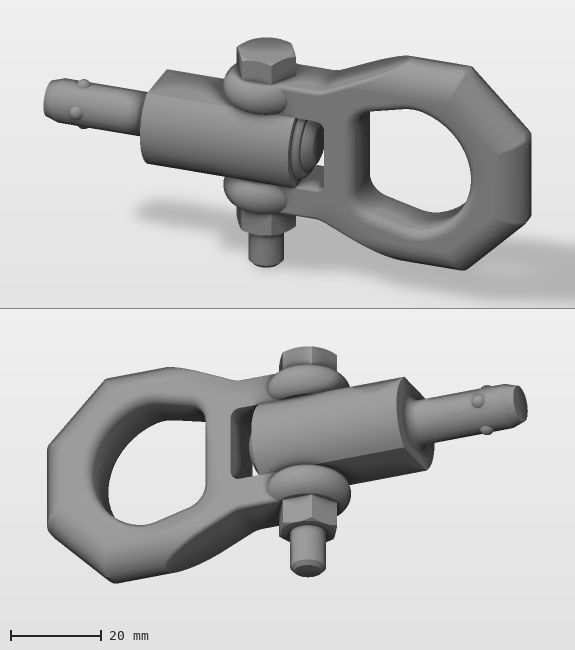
import cadquery as cq
import math


pin_radius = 5.0
pin_tip_radius = 4.1
pin_tip_x = -50.8
pin_tip_length = 2.8
collar_radius = 6.6
collar_length = 1.7
ball_count = 4
ball_radius = 1.7
ball_x = -42.8
ball_reach = 6.0

housing_radius = 10.7
housing_flat_z = 8.7
housing_front_x = -25.7
housing_rear_x = 9.0
rim_base_radius = 8.7
rim_end_radius = 7.7
rim_length = 1.4
rim_arc_radius = 2.7
button_radius = 6.3
button_end_radius = 4.1
button_step = 0.3
dome_length = 1.7
dome_arc_radius = 4.5

shaft_radius = 4.0
shaft_end_z = -31.2
shaft_chamfer = 0.9
hex_sides = 6
hex_flats = 12.1
hex_chamfer_angle = 30
head_height = 5.2
nut_height = 6.1
boss_radius = 9.5
boss_face_radius = 7.4
boss_outer_z = 15.8
boss_height = boss_outer_z - housing_flat_z

thickness = 12.4
octagon_sides = 8
octagon_apothem = 24.6
ring_end_x = 61.9
octagon_x = ring_end_x - octagon_apothem
octagon_corner_radius = 4.5
octagon_side_angles = (-90, -45, 0, 45, 90)
slope_start_x = 14.7
slope_angle = 24.5
slope_blend_radius = 5.9
edge_radius = 0.9
slot_end_x = 15.9
slot_corner_radius = 2.1

opening_x = 34.7
opening_radius = 15.0
opening_left_x = 22.7
opening_left_z = 11.6
opening_slant = 14
opening_corner_radius = 5.0
opening_blend_radius = 9.0
opening_edge_radius = 2.1

clearance = 112.7


def revolve_about_x(outline):
    """Closed half-profile turned into a solid about the pin axis."""
    return outline.close().revolve(360, (0, 0, 0), (1, 0, 0))


def make_stem():
    """Pin stem with a tapered tip and a flared collar against the housing."""
    tip_end_x = pin_tip_x + pin_tip_length
    outline = (
        cq.Workplane("XZ")
        .moveTo(pin_tip_x, 0)
        .lineTo(pin_tip_x, pin_tip_radius)
        .lineTo(tip_end_x, pin_radius)
        .lineTo(housing_front_x - collar_length, pin_radius)
        .radiusArc((housing_front_x, collar_radius), -collar_length)
        .lineTo(housing_front_x, 0)
    )
    return revolve_about_x(outline)


def make_balls():
    """Four locking balls standing out of the stem."""
    balls = cq.Workplane("XY")
    ball_offset = ball_reach - ball_radius
    for ball_number in range(ball_count):
        ball = cq.Workplane("XY").sphere(ball_radius).translate((ball_x, 0, ball_offset))
        balls = balls.add(ball.rotate((0, 0, 0), (1, 0, 0), ball_number * 360 / ball_count))
    return balls.combine()


def make_button():
    """Rounded rim on the rear of the housing with the domed button inside it."""
    rim_end_x = housing_rear_x + rim_length
    dome_x = rim_end_x + button_step
    dome_end_x = dome_x + dome_length
    outline = (
        cq.Workplane("XZ")
        .moveTo(housing_rear_x, 0)
        .lineTo(housing_rear_x, rim_base_radius)
        .radiusArc((rim_end_x, rim_end_radius), rim_arc_radius)
        .lineTo(rim_end_x, button_radius)
        .lineTo(dome_x, button_radius)
        .radiusArc((dome_end_x, button_end_radius), dome_arc_radius)
        .lineTo(dome_end_x, 0)
    )
    return revolve_about_x(outline)


def make_pin():
    """Housing with two flats, its stem, balls and button, bored for the bolt."""
    housing_length = housing_rear_x - housing_front_x
    housing_centre_x = (housing_rear_x + housing_front_x) / 2
    flats = cq.Workplane("XY").box(housing_length, 2 * housing_radius, 2 * housing_flat_z)
    housing = (
        cq.Workplane("YZ")
        .circle(housing_radius)
        .extrude(housing_length / 2, both=True)
        .intersect(flats)
        .translate((housing_centre_x, 0, 0))
    )
    bolt_hole = cq.Workplane("XY").circle(shaft_radius).extrude(housing_radius, both=True)
    pin = housing.union(make_stem()).union(make_balls()).union(make_button())
    return pin.cut(bolt_hole)


def make_rounded_slab(angle):
    """Plate of the shackle's thickness with one full-round edge, turned to face the given angle."""
    round_radius = thickness / 2
    slab = (
        cq.Workplane("XY")
        .moveTo(-clearance, -round_radius)
        .lineTo(octagon_apothem - round_radius, -round_radius)
        .threePointArc((octagon_apothem, 0), (octagon_apothem - round_radius, round_radius))
        .lineTo(-clearance, round_radius)
        .close()
        .extrude(clearance, both=True)
    )
    return slab.rotate((0, 0, 0), (0, 1, 0), angle).translate((octagon_x, 0, 0))


def make_neck_outline():
    """Block with the arms' outer edges and the slopes that widen from them to the ring."""
    slope_length = clearance - slope_start_x
    slope_end_z = boss_outer_z + slope_length * math.tan(math.radians(slope_angle))
    block = (
        cq.Workplane("XZ")
        .moveTo(0, -boss_outer_z)
        .lineTo(0, boss_outer_z)
        .lineTo(slope_start_x, boss_outer_z)
        .lineTo(clearance, slope_end_z)
        .lineTo(clearance, -slope_end_z)
        .lineTo(slope_start_x, -boss_outer_z)
        .close()
        .extrude(thickness, both=True)
    )
    half = clearance / 2
    slope_starts = cq.selectors.BoxSelector((slope_start_x / 2, -half, -half), (half, half, half))
    return block.edges("|Y").edges(slope_starts).fillet(slope_blend_radius)


def make_blunt_octagon():
    """Octagonal prism with rounded corners, which blunts the pointed outer corners of the ring."""
    octagon = (
        cq.Workplane("XZ")
        .polygon(octagon_sides, 2 * octagon_apothem, circumscribed=True)
        .extrude(thickness, both=True)
        .edges("|Y")
        .fillet(octagon_corner_radius)
        .translate((octagon_x, 0, 0))
    )
    tail = cq.Workplane("XY").box(2 * octagon_x, 2 * thickness, 2 * octagon_apothem)
    return octagon.union(tail)


def make_plate():
    """Octagonal ring blank with its neck, its arm, slope and mitre edges filleted."""
    plate = make_neck_outline()
    for angle in octagon_side_angles:
        plate = plate.intersect(make_rounded_slab(angle))
    half = clearance / 2
    ring_side = cq.selectors.BoxSelector((octagon_x, -half, -half), (clearance, half, half))
    plate = plate.edges("%ELLIPSE").edges(ring_side).fillet(edge_radius)
    plate = plate.intersect(make_blunt_octagon())
    return plate.edges("%ELLIPSE").edges("<X").fillet(edge_radius)


def make_opening():
    """Prism through the ring, filleted at its corners."""
    slant = math.radians(opening_slant)
    reach = opening_x - opening_left_x
    line_distance = opening_left_z * math.cos(slant) + reach * math.sin(slant)
    meeting_angle = math.pi / 2 + slant - math.acos(line_distance / opening_radius)
    meeting_x = opening_x + opening_radius * math.cos(meeting_angle)
    meeting_z = opening_radius * math.sin(meeting_angle)
    prism = (
        cq.Workplane("XZ")
        .moveTo(opening_left_x, -opening_left_z)
        .lineTo(opening_left_x, opening_left_z)
        .lineTo(meeting_x, meeting_z)
        .threePointArc((opening_x + opening_radius, 0), (meeting_x, -meeting_z))
        .close()
        .extrude(thickness, both=True)
    )
    prism = prism.edges("|Y").edges("<X").fillet(opening_corner_radius)
    return prism.edges("|Y").edges(">X").fillet(opening_blend_radius)


def make_slot():
    """Gap between the arms that the housing sits in."""
    length = 2 * slot_end_x
    slot = cq.Workplane("XY").box(length, 2 * thickness, 2 * housing_flat_z)
    return slot.edges("|Y").edges(">X").fillet(slot_corner_radius)


def make_boss():
    """Round boss with a bulging side, standing on the upper flat of the housing."""
    outline = (
        cq.Workplane("XZ")
        .moveTo(0, housing_flat_z)
        .lineTo(boss_face_radius, housing_flat_z)
        .threePointArc((boss_radius, housing_flat_z + boss_height / 2), (boss_face_radius, boss_outer_z))
        .lineTo(0, boss_outer_z)
    )
    return outline.close().revolve(360, (0, 0, 0), (0, 1, 0))


def make_hexagon(height):
    """Hexagon standing on the upper boss, with its outer corners chamfered to a cone."""
    flat_radius = hex_flats / 2
    corner_radius = flat_radius / math.cos(math.pi / hex_sides)
    chamfer_height = (corner_radius - flat_radius) * math.tan(math.radians(hex_chamfer_angle))
    chamfered_cylinder = (
        cq.Workplane("XY")
        .circle(corner_radius)
        .extrude(height)
        .faces(">Z")
        .chamfer(chamfer_height, corner_radius - flat_radius)
    )
    hexagon = cq.Workplane("XY").polygon(hex_sides, 2 * corner_radius).extrude(height)
    return hexagon.intersect(chamfered_cylinder).translate((0, 0, boss_outer_z))


def make_shaft():
    """Bolt shaft from the head down to its chamfered end below the nut."""
    shaft = cq.Workplane("XY").workplane(offset=shaft_end_z).circle(shaft_radius)
    return shaft.extrude(boss_outer_z - shaft_end_z).faces("<Z").chamfer(shaft_chamfer)


def make_shackle():
    """Ring and arms in one piece with the bosses, bolt and nut."""
    plate = make_plate().cut(make_opening())
    around_opening = cq.selectors.BoxSelector(
        (slot_end_x + edge_radius, -thickness, -boss_outer_z),
        (opening_x + opening_radius + opening_edge_radius, thickness, boss_outer_z),
    )
    plate = plate.edges(around_opening).edges("not |Y").fillet(opening_edge_radius)
    shackle = plate.cut(make_slot())
    boss = make_boss()
    nut = make_hexagon(nut_height).mirror("XY")
    shackle = shackle.union(boss).union(boss.mirror("XY"))
    return shackle.union(make_hexagon(head_height)).union(nut).union(make_shaft())


pin = make_pin()
shackle = make_shackle()
result = cq.Compound.makeCompound([pin.solids().val(), shackle.solids().val()])